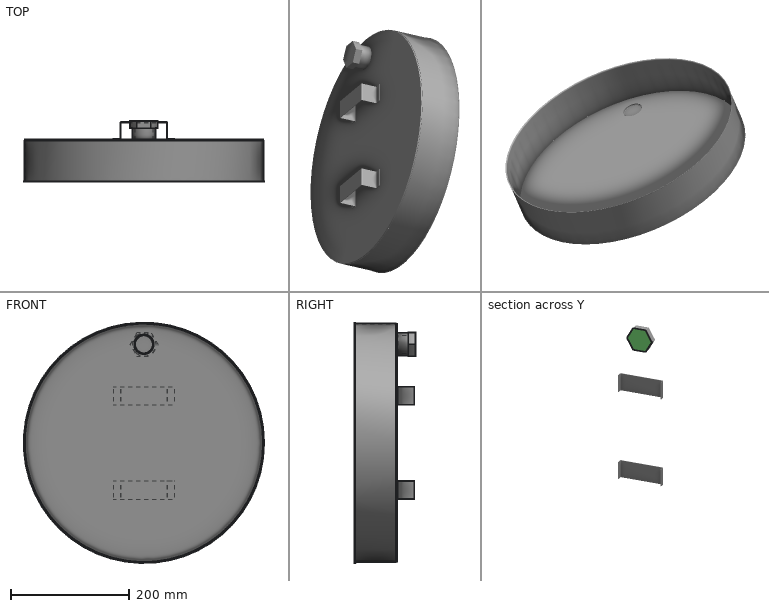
import cadquery as cq
import math

total_depth = 103.5

rim_diameter = 407
wall_outer_diameter = 405.0
wall_inner_diameter = 403
wall_thickness = (wall_outer_diameter - wall_inner_diameter) / 2
flare_front_radius = (rim_diameter - wall_inner_diameter) / 2
flare_back_radius = flare_front_radius - wall_thickness

disc_diameter = 403.5
disc_thickness = 2.0
disc_back = 72.0
disc_front = disc_back - disc_thickness
disc_hole_diameter = 33.5

socket_inset = 36.0
socket_height = wall_outer_diameter / 2 - socket_inset
socket_diameter = 39.5
bore_diameter = 30.0
mouth_chamfer = 1.0

hex_across_flats = 40.7
hex_across_corners = hex_across_flats / math.cos(math.pi / 6)
hex_thickness = 12.2
hex_front = total_depth - hex_thickness

bracket_span = 80.0
bracket_foot_span = 103.0
bracket_width = 31.0
bracket_sheet = 1.0
bracket_bend_radius = 2.0
bracket_back = 101.5
bracket_pitch = 159.5
bracket_heights = [bracket_pitch / 2, -bracket_pitch / 2]


def cylinder(diameter, front, back, height=0):
    """Round bar along Y from front to back, with its axis at the given Z height."""
    start = cq.Vector(0, front, height)
    along_y = cq.Vector(0, 1, 0)
    return cq.Workplane(cq.Solid.makeCylinder(diameter / 2, back - front, start, along_y))


def make_wall():
    """Thin ring revolved from its section, with both faces of the flare as quarter arcs."""
    inner = wall_inner_diameter / 2
    outer = wall_outer_diameter / 2
    rim = rim_diameter / 2
    front_offset = flare_front_radius * math.sqrt(0.5)
    back_offset = flare_back_radius * math.sqrt(0.5)
    return (
        cq.Workplane("XY")
        .moveTo(inner, disc_front)
        .lineTo(inner, flare_front_radius)
        .threePointArc((rim - front_offset, flare_front_radius - front_offset), (rim, 0))
        .lineTo(rim, wall_thickness)
        .threePointArc((rim - back_offset, flare_front_radius - back_offset), (outer, flare_front_radius))
        .lineTo(outer, disc_front)
        .close()
        .revolve(360, (0, 0, 0), (0, 1, 0))
    )


def make_disc():
    disc = cylinder(disc_diameter, disc_front, disc_back)
    return disc.cut(cylinder(disc_hole_diameter, disc_front, disc_back, socket_height))


def make_socket():
    """Tube with a chamfer around the mouth of its bore."""
    outside = cylinder(socket_diameter, disc_back, hex_front, socket_height)
    tube = outside.cut(cylinder(bore_diameter, disc_back, hex_front, socket_height))
    mouth = tube.faces("<Y").edges(cq.selectors.RadiusNthSelector(0))
    return mouth.chamfer(mouth_chamfer)


def make_plug():
    """Shank that fills the bore, with a hexagonal head against the end of the socket."""
    shank = cylinder(bore_diameter, disc_back, hex_front, socket_height)
    head = (
        cq.Workplane("XZ", origin=(0, total_depth, socket_height))
        .polygon(6, hex_across_corners)
        .extrude(hex_thickness)
    )
    return shank.union(head)


def bracket_block(span, back, height):
    """Block standing on the disc, centred on the given Z height."""
    depth = back - disc_back
    return cq.Workplane("XY", origin=(0, disc_back + depth / 2, height)).box(span, depth, bracket_width)


def make_bracket(height):
    """Hat of bent sheet: two feet on the disc, two legs and a bridge across them."""
    outside = bracket_block(bracket_span, bracket_back, height)
    outside = outside.edges("|Z and >Y").fillet(bracket_bend_radius)
    inside = bracket_block(bracket_span - 2 * bracket_sheet, bracket_back - bracket_sheet, height)
    inside = inside.edges("|Z and >Y").fillet(bracket_bend_radius - bracket_sheet)
    feet = bracket_block(bracket_foot_span, disc_back + bracket_sheet, height)
    return feet.union(outside).cut(inside)


wall = make_wall()
disc = make_disc()
socket = make_socket()
plug = make_plug()
brackets = [make_bracket(height) for height in bracket_heights]

bodies = [wall, disc, socket, plug, *brackets]
result = cq.Compound.makeCompound([body.solids().val() for body in bodies])